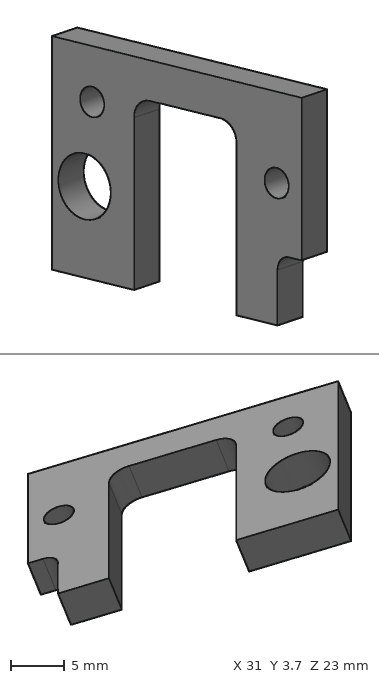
import cadquery as cq

width = 31.0
thickness = 3.7
height = 23.0

slot_left = 10.2
slot_width = 12.7
slot_height = 19.0
slot_corner_radius = 2.0

notch_width = 3.0
notch_height = 7.0
notch_corner_radius = 1.5

small_hole_diameter = 3.0
small_hole_centers = [(5.0, 17.5), (27.9, 14.0)]
large_hole_diameter = 6.5
large_hole_center = (4.05, 9.0)


def box_at(x, z, size_x, size_z):
    """Full-thickness block with its lower left front corner at (x, 0, z)."""
    return cq.Workplane("XY").box(size_x, thickness, size_z, centered=False).translate((x, 0, z))


def slot_cutter():
    """Slot block with its two upper corners rounded."""
    block = box_at(slot_left, 0, slot_width, slot_height)
    return block.edges("|Y and >Z").fillet(slot_corner_radius)


def notch_cutter():
    """Notch block with its inner upper corner rounded."""
    block = box_at(width - notch_width, 0, notch_width, notch_height)
    return block.edges("|Y and >Z and <X").fillet(notch_corner_radius)


def hole_cutter(center, diameter):
    """Cylinder along Y through the whole thickness."""
    x, z = center
    return cq.Workplane("XZ").center(x, z).circle(diameter / 2).extrude(-thickness)


plate = box_at(0, 0, width, height)
plate = plate.cut(slot_cutter()).cut(notch_cutter())
for hole_center in small_hole_centers:
    plate = plate.cut(hole_cutter(hole_center, small_hole_diameter))
result = plate.cut(hole_cutter(large_hole_center, large_hole_diameter))